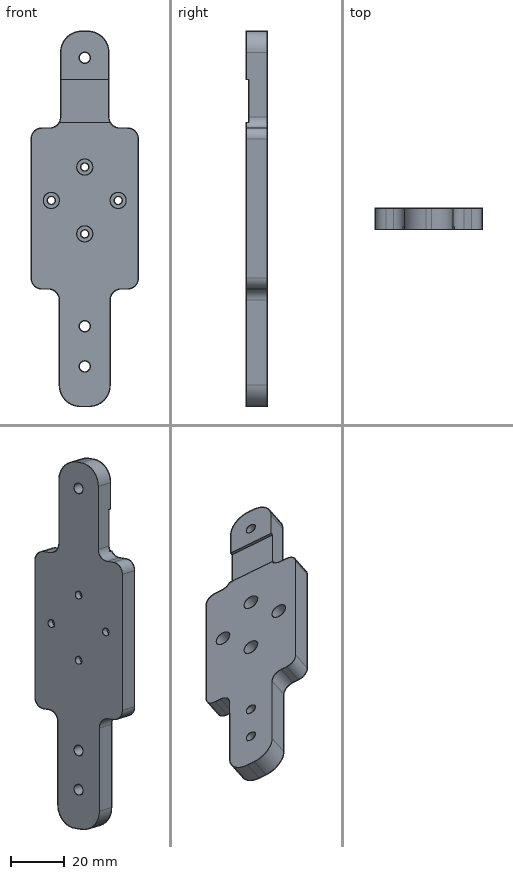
import cadquery as cq

length = 140.0
thickness = 8.0
body_width = 40.0
upper_tab_width = 18.0
lower_tab_width = 19.0
upper_tab_length = 36.1
lower_tab_length = 43.8
tab_end_radius = 8.0
body_corner_radius = 4.0
neck_radius = 4.0

relief_top_drop = 18.0
relief_height = 16.0
relief_depth = 1.0

tab_hole_diameter = 4.0
upper_hole_drop = 10.0
lower_hole_heights = (15.0, 30.0)

pattern_drop = 63.1
pattern_radius = 12.5
screw_diameter = 3.0
counterbore_diameter = 6.0
counterbore_depth = 5.0

top_z = length / 2
bottom_z = -length / 2
front_y = -thickness / 2
body_top_z = top_z - upper_tab_length
body_bottom_z = bottom_z + lower_tab_length


def block(width, low_z, high_z):
    """Full-thickness block between two heights."""
    return cq.Workplane("XY").box(width, thickness, high_z - low_z).translate((0, 0, (low_z + high_z) / 2))


def edges_at(plate, half_width, z):
    """The two through-thickness edges at a mirrored pair of outline corners."""
    margin = 0.1
    selector = cq.selectors.BoxSelector
    left = selector((-half_width - margin, -thickness, z - margin), (-half_width + margin, thickness, z + margin))
    right = selector((half_width - margin, -thickness, z - margin), (half_width + margin, thickness, z + margin))
    return plate.edges("|Y").edges(left + right)


def rounded_plate():
    """Body and both tabs, with every outline corner rounded."""
    plate = block(body_width, body_bottom_z, body_top_z)
    plate = plate.union(block(upper_tab_width, body_top_z, top_z))
    plate = plate.union(block(lower_tab_width, bottom_z, body_bottom_z))
    corners = (
        (upper_tab_width, top_z, tab_end_radius),
        (upper_tab_width, body_top_z, neck_radius),
        (body_width, body_top_z, body_corner_radius),
        (body_width, body_bottom_z, body_corner_radius),
        (lower_tab_width, body_bottom_z, neck_radius),
        (lower_tab_width, bottom_z, tab_end_radius),
    )
    for width, z, radius in corners:
        plate = edges_at(plate, width / 2, z).fillet(radius)
    return plate


def front_bore(x, z, diameter, depth):
    """Cylinder that enters the front face and runs toward +Y."""
    start = cq.Vector(x, front_y, z)
    return cq.Workplane(cq.Solid.makeCylinder(diameter / 2, depth, start, cq.Vector(0, 1, 0)))


result = rounded_plate()

relief_top_z = top_z - relief_top_drop
relief = block(body_width, relief_top_z - relief_height, relief_top_z)
result = result.cut(relief.translate((0, relief_depth - thickness, 0)))

tab_hole_levels = [top_z - upper_hole_drop]
tab_hole_levels += [bottom_z + height for height in lower_hole_heights]
for hole_z in tab_hole_levels:
    result = result.cut(front_bore(0, hole_z, tab_hole_diameter, thickness))

pattern_z = top_z - pattern_drop
for x_step, z_step in ((1, 0), (0, 1), (-1, 0), (0, -1)):
    hole_x = x_step * pattern_radius
    hole_z = pattern_z + z_step * pattern_radius
    result = result.cut(front_bore(hole_x, hole_z, screw_diameter, thickness))
    result = result.cut(front_bore(hole_x, hole_z, counterbore_diameter, counterbore_depth))